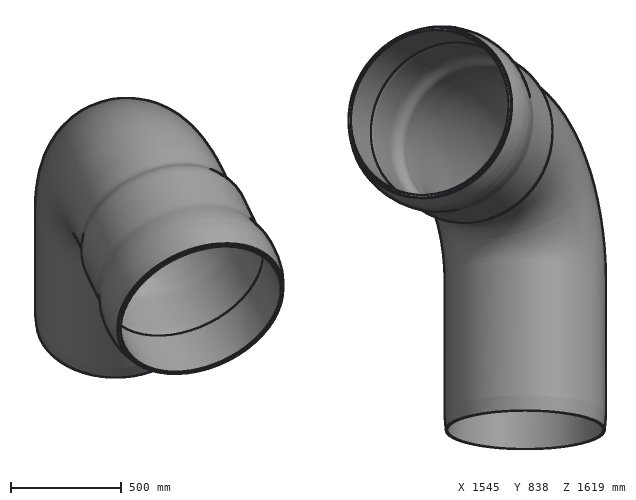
import cadquery as cq
import math

wall = 12.0
pipe_radius = 730.0 / 2
spigot_length = 700.0
spigot_chamfer_length = 68.0
spigot_chamfer_depth = wall / 2

bend_radius = 500.0
bend_angle = 90.0
segment_count = 2
segment_angle = bend_angle / segment_count

socket_radius = 788.0 / 2
groove_radius = 838.0 / 2
flare_start = 85.0
flare_middle = 122.0
flare_end = 189.0
groove_rise_start = 392.0
groove_rise_middle = 435.0
groove_crest_start = 527.0
groove_crest_end = 569.0
socket_length = 680.0

seal_lip_thickness = 6.0
seal_bore_radius = socket_radius - wall
seal_back = groove_rise_middle
seal_lip_start = socket_length - seal_lip_thickness

bend_end_x = bend_radius
socket_axis_z = bend_radius


def arc_middle(start, end, crest):
    """Middle point of the arc from start to end that runs parallel to the axis at crest.

    crest is one of the two ends of the arc, given as (station, radius).
    """
    other = end if crest == start else start
    run = other[0] - crest[0]
    rise = other[1] - crest[1]
    radius = (run**2 + rise**2) / (2 * abs(rise))
    half_angle = math.asin(abs(run) / radius) / 2
    return (
        crest[0] + math.copysign(radius * math.sin(half_angle), run),
        crest[1] + math.copysign(radius * (1 - math.cos(half_angle)), rise),
    )


def socket_envelope(inset):
    """Solid of revolution inside the socket's outer surface, shrunk radially by inset."""
    pipe_r = pipe_radius - inset
    socket_r = socket_radius - inset
    groove_r = groove_radius - inset

    flare_share = (flare_middle - flare_start) / (flare_end - flare_start)
    groove_share = (groove_rise_middle - groove_rise_start) / (groove_crest_start - groove_rise_start)

    flare_from = (flare_start, pipe_r)
    flare_turn = (flare_middle, pipe_r + flare_share * (socket_r - pipe_r))
    flare_to = (flare_end, socket_r)
    rise_from = (groove_rise_start, socket_r)
    rise_turn = (groove_rise_middle, socket_r + groove_share * (groove_r - socket_r))
    rise_to = (groove_crest_start, groove_r)
    crest_to = (groove_crest_end, groove_r)
    mouth = (socket_length, socket_r)

    return (
        cq.Workplane("XY")
        .lineTo(0, pipe_r)
        .lineTo(*flare_from)
        .threePointArc(arc_middle(flare_from, flare_turn, flare_from), flare_turn)
        .threePointArc(arc_middle(flare_turn, flare_to, flare_to), flare_to)
        .lineTo(*rise_from)
        .threePointArc(arc_middle(rise_from, rise_turn, rise_from), rise_turn)
        .threePointArc(arc_middle(rise_turn, rise_to, rise_to), rise_to)
        .lineTo(*crest_to)
        .threePointArc(arc_middle(crest_to, mouth, crest_to), mouth)
        .lineTo(socket_length, 0)
        .close()
        .revolve(360, (0, 0, 0), (1, 0, 0))
        .translate((bend_end_x, 0, socket_axis_z))
    )


def socket_band(start, end, inner_radius):
    """Plain tube around the socket axis between two stations, thick enough to pass the groove wall."""
    return (
        cq.Workplane("YZ", origin=(bend_end_x + start, 0, socket_axis_z))
        .circle(2 * groove_radius)
        .circle(inner_radius)
        .extrude(end - start)
    )


def make_socket():
    socket = socket_envelope(0).cut(socket_envelope(wall))
    return socket.cut(socket_band(seal_lip_start, socket_length, seal_bore_radius))


def make_bend_segment(index):
    ring = cq.Workplane("XY").circle(pipe_radius).circle(pipe_radius - wall)
    segment = ring.revolve(segment_angle, (bend_radius, 0, 0), (bend_radius, 1, 0))
    return segment.rotate((bend_radius, 0, 0), (bend_radius, 1, 0), index * segment_angle)


def make_spigot():
    bore_radius = pipe_radius - wall
    tip_radius = pipe_radius - spigot_chamfer_depth
    return (
        cq.Workplane("XZ")
        .moveTo(bore_radius, 0)
        .lineTo(pipe_radius, 0)
        .lineTo(pipe_radius, spigot_chamfer_length - spigot_length)
        .lineTo(tip_radius, -spigot_length)
        .lineTo(bore_radius, -spigot_length)
        .close()
        .revolve(360, (0, 0, 0), (0, 1, 0))
    )


def make_elbow():
    elbow = make_spigot()
    for index in range(segment_count):
        elbow = elbow.union(make_bend_segment(index), clean=False)
    return elbow.union(make_socket(), clean=False)


def make_seal():
    filling = socket_envelope(wall).intersect(socket_band(seal_back, seal_lip_start, seal_bore_radius))
    lip = socket_envelope(0).intersect(socket_band(seal_lip_start, socket_length, seal_bore_radius))
    return filling.union(lip)


elbow = make_elbow()
seal = make_seal()
result = cq.Compound.makeCompound([*elbow.solids().vals(), *seal.solids().vals()])